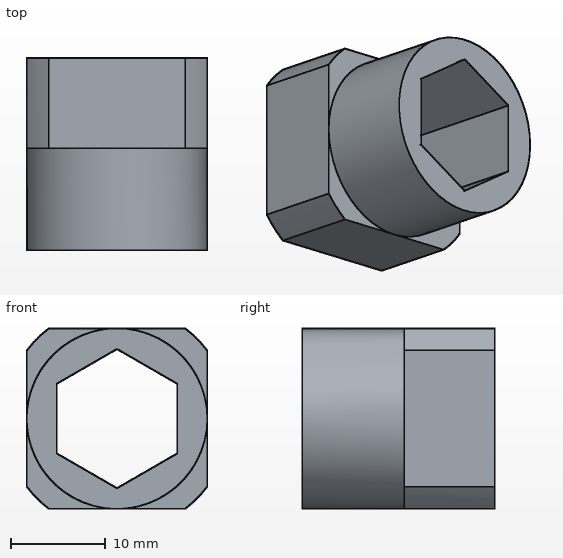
import cadquery as cq
import math

total_length = 20.32
body_width = 19.05
head_length = 9.53
corner_diameter = 23.88
hex_across_flats = 12.7

sleeve_length = total_length - head_length
hex_across_corners = hex_across_flats / math.cos(math.pi / 6)


def section_plane(y):
    """XZ sketch plane at the given Y; positive extrusion runs toward -Y."""
    return cq.Workplane("XZ", origin=(0, y, 0))


sleeve = section_plane(sleeve_length).circle(body_width / 2).extrude(sleeve_length)

square_block = section_plane(total_length).rect(body_width, body_width).extrude(head_length)
corner_round = section_plane(total_length).circle(corner_diameter / 2).extrude(head_length)
head = square_block.intersect(corner_round)

hex_bore = (
    section_plane(total_length)
    .transformed(rotate=(0, 0, 90))
    .polygon(6, hex_across_corners)
    .extrude(total_length)
)

result = sleeve.union(head).cut(hex_bore)